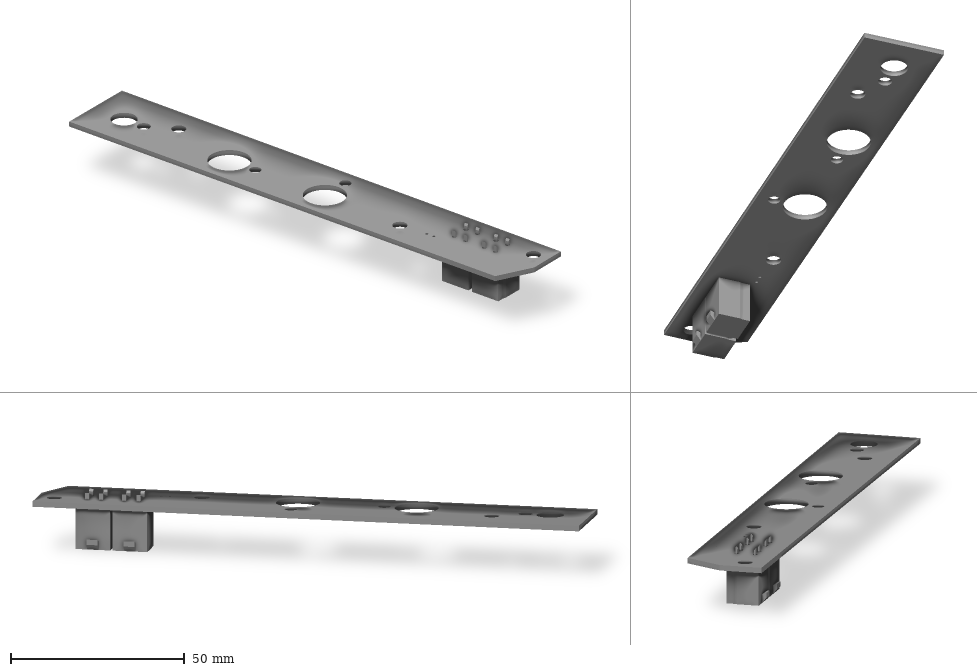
import cadquery as cq


BOARD_LENGTH = 161.0
BOARD_WIDTH = 24.5
BOARD_THICKNESS = 1.6
REAR_EDGE_TAPER = 0.24
FRONT_EDGE_TAPER = 0.53
RIGHT_EDGE_TAPER = 0.2
CORNER_CUT_X = 5.5
CORNER_CUT_TOP_Y = 11.8

BOARD_HOLES = [
    (12.7, [(51.0, 9.7), (86.0, 9.7)]),
    (7.9, [(11.5, 11.0)]),
    (4.3, [(27.5, 16.0), (114.5, 8.4), (155.8, 17.9)]),
    (4.0, [(18.7, 11.0)]),
    (3.5, [(60.5, 9.7), (86.0, 19.2)]),
    (0.9, [(123.8, 9.0), (126.4, 9.0)]),
]

FIRST_HOUSING_X = 133.1
HOUSING_SPACING = 11.0
HOUSING_CENTERS_X = [FIRST_HOUSING_X, FIRST_HOUSING_X + HOUSING_SPACING]
HOUSING_WIDTH = 10.1
HOUSING_HEIGHT = 12.7
HOUSING_FRONT_Y = 10.3
HOUSING_REAR_Y = 20.0
FRONT_INSET = 0.24
INSET_START_Y = 13.5
INSET_END_Y = 12.5

LATCH_WIDTH = 3.2
LATCH_REACH = 1.3
LATCH_TIP_BOTTOM = 1.6
LATCH_TIP_TOP = 3.0
LATCH_TIP_LAND = 0.5
LATCH_ROOT_TOP = 2.5

PIN_PITCH_X = 4.2
PIN_PITCH_Y = 5.5
PIN_CENTER_Y = 15.3
PIN_WIDTH = 1.2
PIN_THICKNESS = 0.5
PIN_STICKOUT = 2.0
PIN_BEVEL_HEIGHT = 0.6
PIN_HOLE_DIAMETER = 1.4

NOTCH_WIDTH = 2.1
NOTCH_HEIGHT = 0.8

BOARD_TOP_Z = HOUSING_HEIGHT + BOARD_THICKNESS
PIN_TOP_Z = BOARD_TOP_Z + PIN_STICKOUT
FRONT_ROW_Y = PIN_CENTER_Y - PIN_PITCH_Y / 2
NOTCH_DEPTH = FRONT_ROW_Y + PIN_THICKNESS / 2 - HOUSING_FRONT_Y


def pin_positions(center_x):
    """The (x, y) centres of the four pins of the connector at center_x."""
    return [
        (center_x + side * PIN_PITCH_X / 2, PIN_CENTER_Y + row * PIN_PITCH_Y / 2)
        for side in (-1, 1)
        for row in (-1, 1)
    ]


def make_board():
    """Flat board with slightly tapering edges, one cut corner and all its holes."""
    board = (
        cq.Workplane("XY", origin=(0, 0, HOUSING_HEIGHT))
        .polyline(
            [
                (0, 0),
                (BOARD_LENGTH - CORNER_CUT_X, FRONT_EDGE_TAPER),
                (BOARD_LENGTH, CORNER_CUT_TOP_Y),
                (BOARD_LENGTH - RIGHT_EDGE_TAPER, BOARD_WIDTH - REAR_EDGE_TAPER),
                (0, BOARD_WIDTH),
            ]
        )
        .close()
        .extrude(BOARD_THICKNESS)
    )
    pin_holes = [point for center_x in HOUSING_CENTERS_X for point in pin_positions(center_x)]
    for diameter, points in BOARD_HOLES + [(PIN_HOLE_DIAMETER, pin_holes)]:
        drill = (
            cq.Workplane("XY", origin=(0, 0, HOUSING_HEIGHT))
            .pushPoints(points)
            .circle(diameter / 2)
            .extrude(BOARD_THICKNESS)
        )
        board = board.cut(drill)
    return board


def make_housing_block(center_x):
    """Upright block whose sides step in towards the front."""
    half_width = HOUSING_WIDTH / 2
    front_half_width = half_width - FRONT_INSET
    right_side = [
        (front_half_width, HOUSING_FRONT_Y),
        (front_half_width, INSET_END_Y),
        (half_width, INSET_START_Y),
        (half_width, HOUSING_REAR_Y),
    ]
    left_side = [(-x, y) for x, y in reversed(right_side)]
    return (
        cq.Workplane("XY", origin=(center_x, 0, 0))
        .polyline(right_side + left_side)
        .close()
        .extrude(HOUSING_HEIGHT)
    )


def make_notch(pin_x):
    """Cutter for the opening in the front wall at one front pin."""
    return cq.Workplane("XY", origin=(pin_x, HOUSING_FRONT_Y, HOUSING_HEIGHT - NOTCH_HEIGHT)).box(
        NOTCH_WIDTH, NOTCH_DEPTH, NOTCH_HEIGHT, centered=(True, False, False)
    )


def make_latch(center_x):
    """Hook at the bottom of the rear face, with a sloping underside."""
    tip_y = HOUSING_REAR_Y + LATCH_REACH
    return (
        cq.Workplane("YZ", origin=(center_x - LATCH_WIDTH / 2, 0, 0))
        .polyline(
            [
                (HOUSING_REAR_Y, 0),
                (tip_y, LATCH_TIP_BOTTOM),
                (tip_y, LATCH_TIP_TOP),
                (tip_y - LATCH_TIP_LAND, LATCH_TIP_TOP),
                (HOUSING_REAR_Y, LATCH_ROOT_TOP),
            ]
        )
        .close()
        .extrude(LATCH_WIDTH)
    )


def make_pin(x, y):
    """Flat pin through the board, its tip bevelled on the side facing the other row."""
    outward = 1 if y > PIN_CENTER_Y else -1
    outer_y = y + outward * PIN_THICKNESS / 2
    inner_y = y - outward * PIN_THICKNESS / 2
    bottom_z = HOUSING_HEIGHT - NOTCH_HEIGHT
    return (
        cq.Workplane("YZ", origin=(x - PIN_WIDTH / 2, 0, 0))
        .polyline(
            [
                (inner_y, bottom_z),
                (outer_y, bottom_z),
                (outer_y, PIN_TOP_Z),
                (inner_y, PIN_TOP_Z - PIN_BEVEL_HEIGHT),
            ]
        )
        .close()
        .extrude(PIN_WIDTH)
    )


def make_connector(center_x):
    """Housing with its latch, front notches and four pins, as one solid."""
    connector = make_housing_block(center_x).union(make_latch(center_x))
    for side in (-1, 1):
        connector = connector.cut(make_notch(center_x + side * PIN_PITCH_X / 2))
    for x, y in pin_positions(center_x):
        connector = connector.union(make_pin(x, y))
    return connector


board = make_board()
connectors = [make_connector(center_x) for center_x in HOUSING_CENTERS_X]

result = cq.Compound.makeCompound(
    [board.solids().val(), *[connector.solids().val() for connector in connectors]]
)